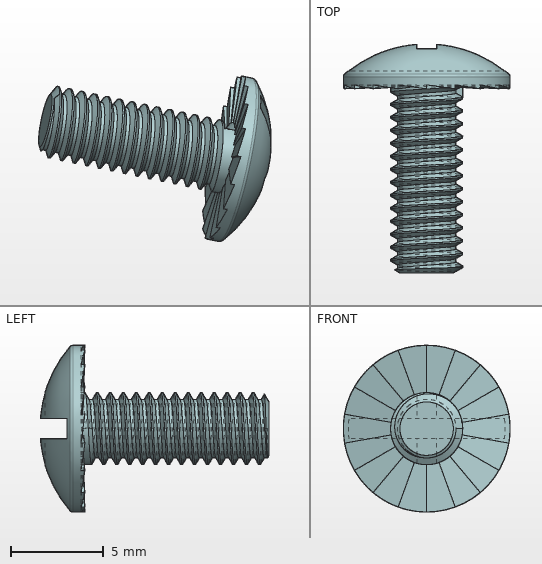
import cadquery as cq
import math


head_diameter = 9.0
head_height = 2.4
dome_radius = 6.8
rim_fillet = 0.2

slot_width = 1.07
main_slot_depth = 1.43
cross_slot_depth = 0.24

tooth_count = 18
tooth_depth = 0.21

shank_length = 9.93
major_radius = 1.945
thread_pitch = 0.7
thread_depth = 0.365
crest_flat = thread_pitch / 8
flank_angle = math.radians(30)
tip_radius = 1.44
tip_chamfer_angle = math.radians(30)
thread_turns = 14
groove_top_drop = 0.14

head_radius = head_diameter / 2
slot_corner_radius = slot_width / math.sqrt(2)
dome_centre = head_height - math.sqrt(dome_radius**2 - slot_corner_radius**2)
dome_apex = dome_centre + dome_radius
tip_chamfer_height = (major_radius - tip_radius) * math.tan(tip_chamfer_angle)
shank_embedding = 2 * tooth_depth
clearance = 0.05
tooth_overrun = 1.2


def make_head():
    """Domed disc with a rounded edge between the dome and the rim."""
    dome_edge = dome_centre + math.sqrt(dome_radius**2 - head_radius**2)
    middle_radius = head_radius / 2
    middle_height = dome_centre + math.sqrt(dome_radius**2 - middle_radius**2)
    profile = (
        cq.Workplane("XZ")
        .lineTo(head_radius, 0)
        .lineTo(head_radius, dome_edge)
        .threePointArc((middle_radius, middle_height), (0, dome_apex))
        .close()
    )
    disc = profile.revolve(360, (0, 0, 0), (0, 1, 0))
    return disc.faces("%CYLINDER").edges(">Z").fillet(rim_fillet)


def make_slot(length_x, length_y, depth):
    """Box that cuts a slot down from the top of the head."""
    slot_floor = head_height - depth
    return (
        cq.Workplane("XY")
        .workplane(offset=slot_floor)
        .rect(length_x, length_y)
        .extrude(head_height)
    )


def make_tetrahedron(a, b, c, d):
    """Solid with four corners."""
    triangles = [(a, b, c), (a, b, d), (a, c, d), (b, c, d)]
    faces = [cq.Face.makeFromWires(cq.Wire.makePolygon(triangle, close=True)) for triangle in triangles]
    return cq.Solid.makeSolid(cq.Shell.makeShell(faces)).fix()


def make_tooth(start_angle):
    """Ramp hanging from the tooth base plane: it falls from start_angle to a crest one tooth further on."""
    reach = tooth_overrun * head_radius
    crest_angle = start_angle + 2 * math.pi / tooth_count
    centre = cq.Vector(0, 0, tooth_depth)
    ramp_start = centre + cq.Vector(reach * math.cos(start_angle), reach * math.sin(start_angle), 0)
    step_top = centre + cq.Vector(reach * math.cos(crest_angle), reach * math.sin(crest_angle), 0)
    crest = step_top - cq.Vector(0, 0, tooth_depth * reach / head_radius)
    return make_tetrahedron(centre, ramp_start, step_top, crest)


def make_serration_cutter():
    """Slab as thick as the teeth, with the teeth left out of it."""
    cutter = cq.Workplane("XY").workplane(offset=-clearance).circle(head_diameter)
    cutter = cutter.extrude(tooth_depth + clearance)
    for index in range(tooth_count):
        start_angle = -math.pi / 2 + index * 2 * math.pi / tooth_count
        cutter = cutter.cut(cq.Workplane(make_tooth(start_angle)))
    return cutter


def make_shank_blank():
    """Plain cylinder with a chamfered tip, turned so that its seam lies opposite the ends of the groove."""
    return (
        cq.Workplane("XZ")
        .moveTo(0, shank_embedding)
        .lineTo(major_radius, shank_embedding)
        .lineTo(major_radius, tip_chamfer_height - shank_length)
        .lineTo(tip_radius, -shank_length)
        .lineTo(0, -shank_length)
        .close()
        .revolve(360, (0, 0, 0), (0, 1, 0))
        .rotate((0, 0, 0), (0, 0, 1), 180)
    )


def make_thread_groove():
    """Right-hand helical groove with square ends at +X, both under the head and on the tip chamfer."""
    groove_height = thread_turns * thread_pitch
    groove_bottom = -groove_top_drop - groove_height
    opening_half = (thread_pitch - crest_flat) / 2
    root_half = opening_half - thread_depth * math.tan(flank_angle)
    outer_half = opening_half + clearance * math.tan(flank_angle)
    root_radius = major_radius - thread_depth
    outer_radius = major_radius + clearance
    helix = cq.Wire.makeHelix(thread_pitch, groove_height, root_radius).translate(
        cq.Vector(0, 0, groove_bottom)
    )
    corners = [
        (root_radius, groove_bottom - root_half),
        (outer_radius, groove_bottom - outer_half),
        (outer_radius, groove_bottom + outer_half),
        (root_radius, groove_bottom + root_half),
    ]
    section = cq.Workplane("XZ").polyline(corners).close()
    return section.sweep(cq.Workplane(helix), isFrenet=True)


head = make_head()
head = head.cut(make_serration_cutter())
head = head.cut(make_slot(2 * head_diameter, slot_width, main_slot_depth))
head = head.cut(make_slot(slot_width, 2 * head_diameter, cross_slot_depth))

shank = make_shank_blank().cut(make_thread_groove())
screw = head.union(shank)

result = screw.rotate((0, 0, 0), (1, 0, 0), -90)